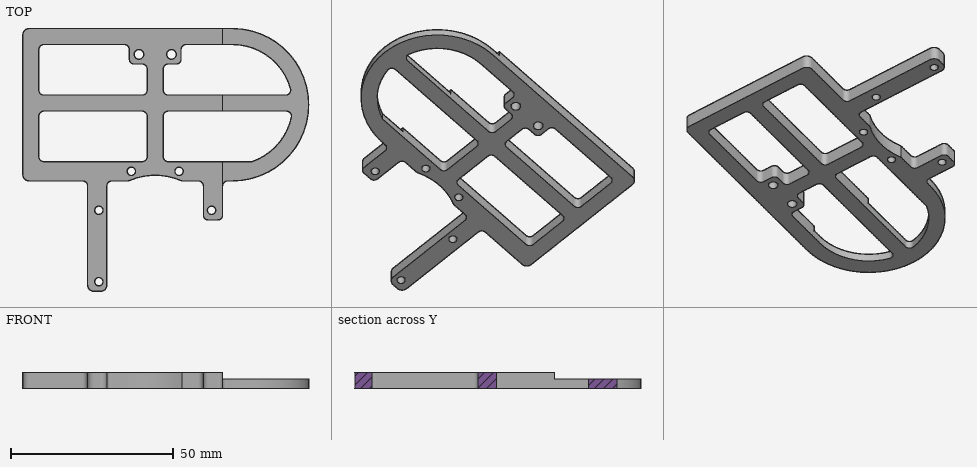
import cadquery as cq
import math

plate_depth = 47.0
plate_length = 88.1
full_thickness = 5.0
thin_thickness = 3.0
plate_corner_radius = 2.0
end_radius = plate_depth / 2
end_center = (plate_length - end_radius, plate_depth / 2)

wall = 5.0
front_wall = 6.0
bar_width = 5.0
window_radius = 1.5
window_depth = (plate_depth - wall - front_wall - bar_width) / 2
bar_front = front_wall + window_depth
bar_back = bar_front + bar_width
window_back = plate_depth - wall
column_x = 40.8
column_left = column_x - bar_width / 2
column_right = column_x + bar_width / 2
inner_radius = end_radius - wall

boss_width = 16.0
boss_left = column_x - boss_width / 2
boss_right = column_x + boss_width / 2
boss_front = 36.0
boss_corner_radius = 1.5
boss_hole_diameter = 2.9
boss_hole_spacing = 10.0
boss_hole_y = 39.0

arm_width = 6.0
arm_left = 19.95
arm_reach = 34.0
arm_end_radius = 2.0
tab_left = 55.6
tab_reach = 12.0
tab_end_radius = 1.5
root_radius = 1.5
step_x = tab_left + arm_width

screw_diameter = 2.5
front_hole_spacing = 14.7
front_hole_y = 3.0
limb_hole_spacing = 34.7
limb_hole_y = -9.0
arm_tip_hole_y = -31.0

relief_width = 16.4
relief_height = 1.75
relief_blend_radius = 1.2
relief_radius = ((relief_width / 2) ** 2 + relief_height ** 2) / (2 * relief_height)


def box(x_min, x_max, y_min, y_max):
    """Full-thickness block between the given X and Y limits."""
    block = cq.Workplane("XY").box(x_max - x_min, y_max - y_min, full_thickness, centered=False)
    return block.translate((x_min, y_min, 0))


def cylinder(x, y, radius):
    """Full-thickness upright cylinder."""
    return cq.Workplane("XY").center(x, y).circle(radius).extrude(full_thickness)


def fillet_uprights(body, points, radius):
    """Round the upright edges that stand at the given XY points."""
    reach = 0.01
    for x, y in points:
        selector = cq.selectors.BoxSelector(
            (x - reach, y - reach, -reach),
            (x + reach, y + reach, full_thickness + reach),
        )
        body = body.edges("|Z").edges(selector).fillet(radius)
    return body


def make_outline():
    """Plate with its round end, the arm and the tab, all full thickness."""
    body = box(0, end_center[0], 0, plate_depth)
    body = body.union(cylinder(*end_center, end_radius))
    limbs = (
        (arm_left, arm_reach, arm_end_radius),
        (tab_left, tab_reach, tab_end_radius),
    )
    for left, reach, end_fillet in limbs:
        right = left + arm_width
        body = body.union(box(left, right, -reach, front_wall))
        body = fillet_uprights(body, [(left, -reach), (right, -reach)], end_fillet)
        body = fillet_uprights(body, [(left, 0), (right, 0)], root_radius)
    return fillet_uprights(body, [(0, 0), (0, plate_depth)], plate_corner_radius)


def make_back_window(x_min, x_max, boss_side_x, column_side_x):
    """Back window, notched by one half of the boss."""
    window = box(x_min, x_max, bar_back, window_back)
    boss = box(boss_left, boss_right, boss_front, window_back)
    window = window.cut(boss)
    window = fillet_uprights(window, [(boss_side_x, boss_front)], boss_corner_radius)
    inner_corners = [
        (boss_side_x, window_back),
        (column_side_x, boss_front),
        (column_side_x, bar_back),
    ]
    return fillet_uprights(window, inner_corners, window_radius)


def trim_to_round_end(window):
    """Limit a right-hand window to the inside of the round rim."""
    inside = box(0, end_center[0], 0, plate_depth).union(cylinder(*end_center, inner_radius))
    return window.intersect(inside)


def rim_corner(y):
    """Point where the inner rim circle meets the line at the given Y."""
    return (end_center[0] + math.sqrt(inner_radius ** 2 - (y - end_center[1]) ** 2), y)


def make_windows():
    """The four through windows between the walls, the bar and the column."""
    back_left = make_back_window(wall, column_left, boss_left, column_left)
    back_left = fillet_uprights(back_left, [(wall, bar_back), (wall, window_back)], window_radius)

    front_left = box(wall, column_left, front_wall, bar_front).edges("|Z").fillet(window_radius)

    back_right = make_back_window(column_right, plate_length, boss_right, column_right)
    back_right = trim_to_round_end(back_right)
    back_right = fillet_uprights(back_right, [rim_corner(bar_back)], window_radius)

    front_right = trim_to_round_end(box(column_right, plate_length, front_wall, bar_front))
    rounded_corners = [(column_right, front_wall), (column_right, bar_front), rim_corner(bar_front)]
    front_right = fillet_uprights(front_right, rounded_corners, window_radius)
    return [back_left, front_left, back_right, front_right]


def make_holes():
    """Through holes, mirrored about the column except the one at the arm tip."""
    holes = []
    pairs = (
        (boss_hole_spacing, boss_hole_y, boss_hole_diameter),
        (front_hole_spacing, front_hole_y, screw_diameter),
        (limb_hole_spacing, limb_hole_y, screw_diameter),
    )
    for spacing, y, diameter in pairs:
        for side in (-1, 1):
            holes.append(cylinder(column_x + side * spacing / 2, y, diameter / 2))
    holes.append(cylinder(column_x - limb_hole_spacing / 2, arm_tip_hole_y, screw_diameter / 2))
    return holes


def make_relief():
    """Cylinder that scoops the shallow arc out of the front edge."""
    return cylinder(column_x, relief_height - relief_radius, relief_radius).intersect(
        box(arm_left + arm_width, tab_left, -arm_reach, front_wall)
    )


def blend_relief(body):
    """Round the corner where the relief meets the front edge on the arm side."""
    return fillet_uprights(body, [(column_x - relief_width / 2, 0)], relief_blend_radius)


def make_step():
    """Space above the thin right-hand end."""
    space = box(step_x, plate_length, -root_radius, plate_depth)
    return space.translate((0, 0, thin_thickness))


result = make_outline()
for cutter in make_windows() + make_holes() + [make_relief(), make_step()]:
    result = result.cut(cutter)
result = blend_relief(result)